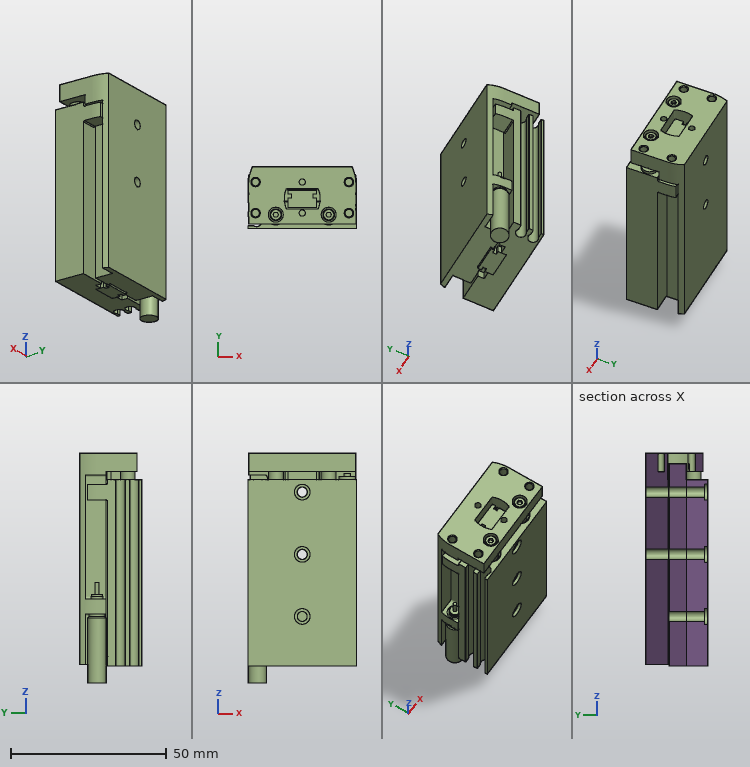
import cadquery as cq
import math


TOTAL_HEIGHT = 74.0
ABSORBER_OVERHANG = 5.5
TOP_Z = TOTAL_HEIGHT - ABSORBER_OVERHANG
BACK_Y = 20.0
FLANK_START_Y = 14.5
FLANK_RADIUS = 13.25

HOUSING_WIDTH = 35.0
HOUSING_DEPTH = 11.0
HOUSING_HEIGHT = 60.0
GROOVE_DIAMETER = 3.5
GROOVE_OPENING = 2.8
GROOVE_LIP = 0.185
GROOVE_INSET = 2.8
GROOVE_YS = (2.45, 6.9)
LUG_Z = (53.5, 58.5)
LUG_BACK_Y = 17.5
LUG_INNER_X = 11.6
LUG_FLARE = 0.4
CAVITY_HALF_WIDTH = 7.25
CAVITY_FLOOR_Y = 8.7
STOPPER_X = 14.5
STOPPER_Y = 6.9
STOPPER_DIAMETER = 5.5
STOPPER_HEIGHT = 1.0
BUMPER_DIAMETER = 2.0
BUMPER_HEIGHT = 0.9

MOUNT_ZS = (16.0, 36.0, 56.0)
MOUNT_DIAMETER = 3.2
MOUNT_HEAD_DIAMETER = 5.0
MOUNT_HEAD_DEPTH = 1.0

RAIL_HALF_WIDTH = 4.6
RAIL_Y = (6.9, 12.4)
RAIL_TOP_Z = 65.2
BALL_GROOVE_Y = (9.9, 11.2)
BALL_GROOVE_DEPTH = 1.2

TABLE_WIDTH = 34.5
TABLE_BOTTOM_Z = 0.5
TABLE_FRONT_Y = 11.5
PLATE_THICKNESS = 5.9
PLATE_FRONT_Y = 1.5
PLATE_BOTTOM_Z = TOP_Z - PLATE_THICKNESS
RECESS_INNER_X = 11.25
RECESS_BACK_Y = 18.05
RECESS_FILLET = 0.75
LEFT_RECESS_TOP_Z = 61.5
RIGHT_RECESS_TOP_Z = 59.3
HOLDER_Z = (16.7, 21.6)
CARRIAGE_FRONT_Y = 8.9
CARRIAGE_Z = (3.0, HOUSING_HEIGHT)
CARRIAGE_CLEARANCE = 0.2
WINDOW_Y = (6.4, 12.9)
WINDOW_HALF_WIDTH = 5.8
WINDOW_CORNER_X = 5.1
WINDOW_FILLET = 0.4
HOLE_YS = (5.0, 15.0)
CORNER_HOLE_X = 15.0
THREAD_DIAMETER = 2.45
THREAD_MOUTH_DIAMETER = 3.0
THREAD_DEPTH = 5.0
PIN_HOLE_DIAMETER = 2.0

ROD_X = 8.5
ROD_Y = 4.5
ROD_DIAMETER = 4.8
ROD_BOTTOM_Z = 29.6
ROD_BORE_MOUTH_DIAMETER = 6.0
ROD_BORE_CHAMFER = 0.3
ROD_BORE_MOUTH_DEPTH = 1.5
SCREW_SHANK_DIAMETER = 2.8
SCREW_HEAD_DIAMETER = 3.8
SCREW_HEAD_CHAMFER = 0.2
SCREW_HEAD_HEIGHT = 2.95
SCREW_HEAD_SINK = 0.45
SCREW_POCKET_DIAMETER = 4.8
SOCKET_DIAMETER = 1.8
SOCKET_DEPTH = 1.1

ABSORBER_X = -14.4
ABSORBER_Y = 14.4
ABSORBER_DIAMETER = 6.0
ABSORBER_BODY_TOP_Z = 15.9
ABSORBER_CHAMFER = 0.45
NECK_DIAMETER = 5.0
COLLAR_DIAMETER = 4.0
COLLAR_TOP_Z = 22.35
CAP_DIAMETER = 3.5
CAP_TOP_Z = 23.0
PIN_DIAMETER = 1.2
PIN_TOP_Z = 26.9


def block(xs, ys, zs):
    """Box between pairs of limits along X, Y and Z."""
    return cq.Workplane("XY").box(
        xs[1] - xs[0], ys[1] - ys[0], zs[1] - zs[0], centered=False
    ).translate((xs[0], ys[0], zs[0]))


def post(x, y, diameter, zs):
    """Upright cylinder between two heights."""
    return cq.Workplane("XY", origin=(x, y, zs[0])).circle(diameter / 2).extrude(zs[1] - zs[0])


def countersink(x, y, diameter, depth, top_z):
    """45 degree cone that widens a hole of the given diameter at its top."""
    radius = diameter / 2
    return cq.Workplane(cq.Solid.makeCone(
        radius, radius + depth, depth, pnt=cq.Vector(x, y, top_z - depth), dir=cq.Vector(0, 0, 1)
    ))


def cross_hole(z, diameter, ys):
    """Cylinder along Y on the centre plane."""
    plane = cq.Plane(origin=(0, ys[0], z), xDir=(1, 0, 0), normal=(0, 1, 0))
    return cq.Workplane(plane).circle(diameter / 2).extrude(ys[1] - ys[0])


def flank_x(half_width, y):
    """Half width of a rounded flank at a given Y."""
    rise = y - FLANK_START_Y
    return half_width - FLANK_RADIUS + math.sqrt(FLANK_RADIUS**2 - rise**2)


def flanked_prism(width, ys, zs):
    """Upright prism with straight sides that curve inwards towards the back."""
    half = width / 2
    front, back = ys
    middle = (FLANK_START_Y + back) / 2
    back_x = flank_x(half, back)
    middle_x = flank_x(half, middle)
    return (
        cq.Workplane("XY", origin=(0, 0, zs[0]))
        .moveTo(-half, front)
        .lineTo(-half, FLANK_START_Y)
        .threePointArc((-middle_x, middle), (-back_x, back))
        .lineTo(back_x, back)
        .threePointArc((middle_x, middle), (half, FLANK_START_Y))
        .lineTo(half, front)
        .close()
        .extrude(zs[1] - zs[0])
    )


def sensor_groove(y):
    """Round-bottomed sensor groove with chamfered lips in the -X side."""
    side_x = -HOUSING_WIDTH / 2
    centre_x = side_x + GROOVE_INSET
    half = GROOVE_OPENING / 2
    slot = (
        cq.Workplane("XY")
        .moveTo(side_x, y - half - GROOVE_LIP)
        .lineTo(side_x + GROOVE_LIP, y - half)
        .lineTo(centre_x, y - half)
        .lineTo(centre_x, y + half)
        .lineTo(side_x + GROOVE_LIP, y + half)
        .lineTo(side_x, y + half + GROOVE_LIP)
        .close()
        .extrude(HOUSING_HEIGHT)
    )
    return slot.union(post(centre_x, y, GROOVE_DIAMETER, (0, HOUSING_HEIGHT)))


def stop_lugs():
    """Left and right lugs behind the housing, flared at their roots."""
    bottom, top = LUG_Z
    root = HOUSING_DEPTH
    lugs = flanked_prism(HOUSING_WIDTH, (root, LUG_BACK_Y), (bottom - LUG_FLARE, top + LUG_FLARE))
    profile = (
        cq.Workplane("YZ", origin=(-HOUSING_WIDTH / 2, 0, 0))
        .moveTo(root, bottom - LUG_FLARE)
        .lineTo(root + LUG_FLARE, bottom)
        .lineTo(LUG_BACK_Y, bottom)
        .lineTo(LUG_BACK_Y, top)
        .lineTo(root + LUG_FLARE, top)
        .lineTo(root, top + LUG_FLARE)
        .close()
        .extrude(HOUSING_WIDTH)
    )
    middle = block((-LUG_INNER_X, LUG_INNER_X), (root, BACK_Y), (0, TOP_Z))
    return lugs.intersect(profile).cut(middle)


def make_housing():
    half = HOUSING_WIDTH / 2
    body = block((-half, half), (0, HOUSING_DEPTH), (0, HOUSING_HEIGHT))
    for y in GROOVE_YS:
        body = body.cut(sensor_groove(y))
    body = body.union(stop_lugs())

    body = body.cut(block(
        (-CAVITY_HALF_WIDTH, CAVITY_HALF_WIDTH), (CAVITY_FLOOR_Y, HOUSING_DEPTH), (0, HOUSING_HEIGHT)
    ))
    body = body.cut(block(
        (-RAIL_HALF_WIDTH, RAIL_HALF_WIDTH), (RAIL_Y[0], HOUSING_DEPTH), (0, HOUSING_HEIGHT)
    ))

    mouth_bottom = HOUSING_HEIGHT - ROD_BORE_MOUTH_DEPTH
    for x in (-ROD_X, ROD_X):
        body = body.cut(post(x, ROD_Y, ROD_DIAMETER, (ROD_BOTTOM_Z, HOUSING_HEIGHT)))
        body = body.cut(post(x, ROD_Y, ROD_BORE_MOUTH_DIAMETER, (mouth_bottom, HOUSING_HEIGHT)))
        body = body.cut(
            countersink(x, ROD_Y, ROD_BORE_MOUTH_DIAMETER, ROD_BORE_CHAMFER, HOUSING_HEIGHT)
        )

    for z in MOUNT_ZS:
        body = body.cut(cross_hole(z, MOUNT_DIAMETER, (0, HOUSING_DEPTH)))
        body = body.cut(cross_hole(z, MOUNT_HEAD_DIAMETER, (0, MOUNT_HEAD_DEPTH)))

    stopper_top = HOUSING_HEIGHT + STOPPER_HEIGHT
    body = body.union(post(STOPPER_X, STOPPER_Y, STOPPER_DIAMETER, (HOUSING_HEIGHT, stopper_top)))
    return body.union(
        post(STOPPER_X, STOPPER_Y, BUMPER_DIAMETER, (stopper_top, stopper_top + BUMPER_HEIGHT))
    )


def ball_groove_filler(side, zs):
    """Bar that fills one ball groove of the rail; side is -1 or 1."""
    xs = sorted((side * RAIL_HALF_WIDTH, side * (RAIL_HALF_WIDTH - BALL_GROOVE_DEPTH)))
    return block(xs, BALL_GROOVE_Y, zs)


def make_rail():
    zs = (0, RAIL_TOP_Z)
    rail = block((-RAIL_HALF_WIDTH, RAIL_HALF_WIDTH), RAIL_Y, zs)
    for side in (-1, 1):
        rail = rail.cut(ball_groove_filler(side, zs))
    for z in MOUNT_ZS:
        rail = rail.cut(cross_hole(z, MOUNT_DIAMETER, RAIL_Y))
    return rail


def window():
    """Opening of the end plate around the rail end, with bulged sides."""
    front, back = WINDOW_Y
    middle = (front + back) / 2
    return (
        cq.Workplane("XY", origin=(0, 0, HOUSING_HEIGHT))
        .moveTo(-WINDOW_CORNER_X, front)
        .threePointArc((-WINDOW_HALF_WIDTH, middle), (-WINDOW_CORNER_X, back))
        .lineTo(WINDOW_CORNER_X, back)
        .threePointArc((WINDOW_HALF_WIDTH, middle), (WINDOW_CORNER_X, front))
        .close()
        .extrude(TOP_Z - HOUSING_HEIGHT)
        .edges("|Z")
        .fillet(WINDOW_FILLET)
    )


def side_recess(zs, filleted):
    """Recess in the left side of the table, with the chosen inner edges rounded."""
    recess = block((-HOUSING_WIDTH, -RECESS_INNER_X), (TABLE_FRONT_Y, RECESS_BACK_Y), zs)
    return recess.faces(">X").edges(filleted).fillet(RECESS_FILLET)


def make_table():
    table = flanked_prism(TABLE_WIDTH, (TABLE_FRONT_Y, BACK_Y), (TABLE_BOTTOM_Z, TOP_Z))
    table = table.union(block(
        (-TABLE_WIDTH / 2, TABLE_WIDTH / 2), (PLATE_FRONT_Y, TABLE_FRONT_Y), (PLATE_BOTTOM_Z, TOP_Z)
    ))

    table = table.cut(side_recess((HOLDER_Z[1], LEFT_RECESS_TOP_Z), "|Y"))
    table = table.cut(side_recess((TABLE_BOTTOM_Z, HOLDER_Z[0]), "|Y and >Z"))
    right_recess = side_recess((TABLE_BOTTOM_Z, RIGHT_RECESS_TOP_Z), "|Y and >Z")
    table = table.cut(right_recess.mirror("YZ"))
    table = table.cut(post(ABSORBER_X, ABSORBER_Y, NECK_DIAMETER, HOLDER_Z))

    channel_back = RAIL_Y[1] + CARRIAGE_CLEARANCE
    table = table.union(block(
        (-CAVITY_HALF_WIDTH, CAVITY_HALF_WIDTH), (CARRIAGE_FRONT_Y, TABLE_FRONT_Y), CARRIAGE_Z
    ))
    table = table.cut(block(
        (-RAIL_HALF_WIDTH, RAIL_HALF_WIDTH), (CARRIAGE_FRONT_Y, channel_back), (0, HOUSING_HEIGHT)
    ))
    for side in (-1, 1):
        table = table.union(ball_groove_filler(side, CARRIAGE_Z))
    table = table.cut(window())

    for z in MOUNT_ZS[1:]:
        table = table.cut(cross_hole(z, MOUNT_DIAMETER, (TABLE_FRONT_Y, BACK_Y)))

    mouth_depth = (THREAD_MOUTH_DIAMETER - THREAD_DIAMETER) / 2
    for y in HOLE_YS:
        table = table.cut(post(0, y, PIN_HOLE_DIAMETER, (PLATE_BOTTOM_Z, TOP_Z)))
        for x in (-CORNER_HOLE_X, CORNER_HOLE_X):
            mouth = countersink(x, y, THREAD_DIAMETER, mouth_depth, TOP_Z)
            table = table.cut(post(x, y, THREAD_DIAMETER, (TOP_Z - THREAD_DEPTH, TOP_Z))).cut(mouth)

    seat_z = TOP_Z - SCREW_HEAD_SINK - SCREW_HEAD_HEIGHT
    for x in (-ROD_X, ROD_X):
        table = table.cut(post(x, ROD_Y, SCREW_SHANK_DIAMETER, (PLATE_BOTTOM_Z, TOP_Z)))
        table = table.cut(post(x, ROD_Y, SCREW_POCKET_DIAMETER, (seat_z, TOP_Z)))
    return table


def make_rod(x):
    """Piston rod with the socket screw that holds it to the end plate."""
    head_top = TOP_Z - SCREW_HEAD_SINK
    seat_z = head_top - SCREW_HEAD_HEIGHT
    head = post(x, ROD_Y, SCREW_HEAD_DIAMETER, (seat_z, head_top))
    head = head.faces(">Z").chamfer(SCREW_HEAD_CHAMFER)
    socket = (
        cq.Workplane("XY", origin=(x, ROD_Y, head_top)).polygon(6, SOCKET_DIAMETER).extrude(-SOCKET_DEPTH)
    )
    rod = post(x, ROD_Y, ROD_DIAMETER, (ROD_BOTTOM_Z, PLATE_BOTTOM_Z))
    return rod.union(post(x, ROD_Y, SCREW_SHANK_DIAMETER, (PLATE_BOTTOM_Z, seat_z))).union(head.cut(socket))


def make_absorber():
    body = post(ABSORBER_X, ABSORBER_Y, ABSORBER_DIAMETER, (-ABSORBER_OVERHANG, ABSORBER_BODY_TOP_Z))
    body = body.faces(">Z").chamfer(ABSORBER_CHAMFER)
    steps = (
        (NECK_DIAMETER, ABSORBER_BODY_TOP_Z, HOLDER_Z[1]),
        (COLLAR_DIAMETER, HOLDER_Z[1], COLLAR_TOP_Z),
        (CAP_DIAMETER, COLLAR_TOP_Z, CAP_TOP_Z),
        (PIN_DIAMETER, CAP_TOP_Z, PIN_TOP_Z),
    )
    for diameter, bottom, top in steps:
        body = body.union(post(ABSORBER_X, ABSORBER_Y, diameter, (bottom, top)))
    return body


housing = make_housing()
rail = make_rail()
table = make_table()
rods = [make_rod(x) for x in (-ROD_X, ROD_X)]
absorber = make_absorber()

result = cq.Compound.makeCompound(
    [housing.val(), rail.val(), table.val(), *[rod.val() for rod in rods], absorber.val()]
)